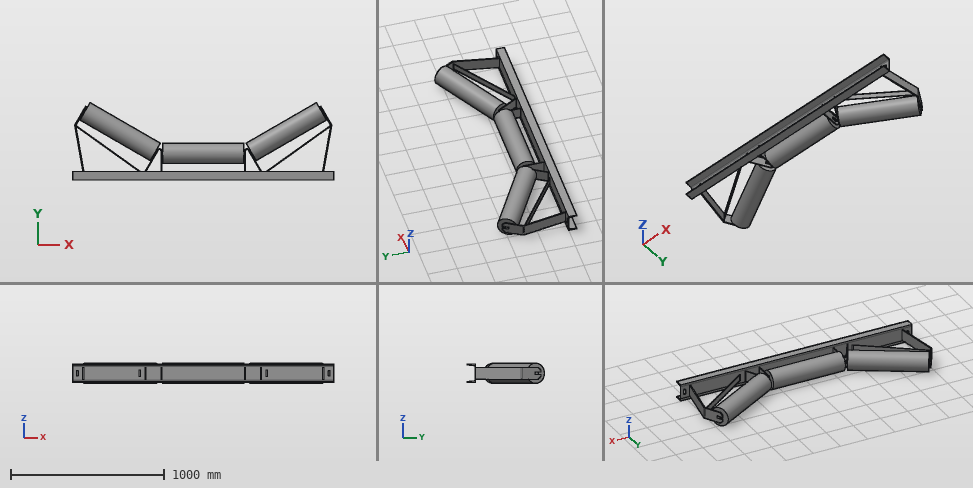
import cadquery as cq
import math

beam_length = 1700.0
beam_height = 120.0
beam_depth = 56.0
web_thickness = 5.0
flange_tip_thickness = 7.0
flange_root_thickness = 12.0
root_fillet = 5.0
beam_slot_width = 14.0
beam_slot_height = 37.0
beam_slot_inset = 30.0

roller_radius = 66.0
roller_length = 529.0
shaft_radius = 12.0
shaft_flat_width = 15.0
center_axis_y = 117.0
end_gap = 5.0

wing_angle = 30.0
wing_axis_v = -46.0

strap_width = 78.0

inner_thickness = 6.0
bend_outer_radius = 15.0
bend_center_y = 133.0

outer_thickness = 8.0
outer_lean = 10.0
outer_bend_v = -158.0
outer_bend_radius = 15.0
tip_above_axis = 30.0
tip_chamfer_length = 19.0
tip_chamfer_width = 17.0

brace_thickness = 5.0
brace_width = 45.0
brace_foot_x = 410.0

cos_wing = math.cos(math.radians(wing_angle))
sin_wing = math.sin(math.radians(wing_angle))
center_face_x = roller_length / 2 + end_gap
bend_center_x = center_face_x + bend_outer_radius
bend_center_u = bend_center_x * cos_wing + bend_center_y * sin_wing
inner_face_u = bend_center_u + bend_outer_radius
wing_start_u = inner_face_u + end_gap
outer_face_u = wing_start_u + roller_length + end_gap
outer_back_u = outer_face_u + outer_thickness
tip_v = wing_axis_v + tip_above_axis
slot_floor_v = wing_axis_v - shaft_radius


def wing_point(u, v):
    """X and Y of a place in the right-hand wing frame."""
    return (u * cos_wing - v * sin_wing, u * sin_wing + v * cos_wing)


def plate(outline, width):
    """Closed XY outline extruded by width, centered on Z = 0."""
    return outline.close().extrude(width / 2, both=True)


def on_side(body, side):
    """The right-hand body itself, or its mirror image for the left-hand side."""
    return body if side > 0 else body.mirror("YZ")


def make_beam():
    inner_tip_z = beam_height / 2 - flange_tip_thickness
    inner_root_z = beam_height / 2 - flange_root_thickness
    profile = [
        (0, -beam_height / 2),
        (0, beam_height / 2),
        (-beam_depth, beam_height / 2),
        (-beam_depth, inner_tip_z),
        (-web_thickness, inner_root_z),
        (-web_thickness, -inner_root_z),
        (-beam_depth, -inner_tip_z),
        (-beam_depth, -beam_height / 2),
    ]
    beam = cq.Workplane("YZ").polyline(profile).close().extrude(beam_length / 2, both=True)
    for root_z in (-inner_root_z, inner_root_z):
        root_edge = cq.selectors.NearestToPointSelector((0, -web_thickness, root_z))
        beam = beam.edges("|X").edges(root_edge).fillet(root_fillet)
    slot_x = beam_length / 2 - beam_slot_inset
    slots = (
        cq.Workplane("XZ")
        .pushPoints([(-slot_x, 0), (slot_x, 0)])
        .slot2D(beam_slot_height, beam_slot_width, 90)
        .extrude(beam_depth, both=True)
    )
    return beam.cut(slots)


def make_roller(start_shaft, end_shaft):
    """Roller along +X from the origin, with shaft ends of the given lengths."""
    shaft_length = start_shaft + roller_length + end_shaft
    shaft = cq.Workplane("YZ", origin=(-start_shaft, 0, 0)).circle(shaft_radius).extrude(shaft_length)
    flats = cq.Workplane("XY", origin=(-start_shaft, 0, 0)).box(
        shaft_length, 2 * shaft_radius, shaft_flat_width, centered=(False, True, True)
    )
    barrel = cq.Workplane("XZ").rect(roller_length, roller_radius, centered=False)
    barrel = barrel.revolve(360, (0, 0), (1, 0))
    return barrel.union(shaft.intersect(flats))


def make_center_roller():
    shaft_end = end_gap + inner_thickness
    roller = make_roller(shaft_end, shaft_end)
    return roller.translate((-roller_length / 2, center_axis_y, 0))


def make_wing_roller(side):
    roller = make_roller(end_gap + inner_thickness, end_gap + outer_thickness)
    start_x, start_y = wing_point(wing_start_u, wing_axis_v)
    roller = roller.rotate((0, 0, 0), (0, 0, 1), wing_angle).translate((start_x, start_y, 0))
    return on_side(roller, side)


def make_inner_bracket(side):
    bend_inner_radius = bend_outer_radius - inner_thickness
    bend_center_v = bend_center_y * cos_wing - bend_center_x * sin_wing
    mid_angle = math.radians((180 - wing_angle) / 2 + wing_angle)

    def bend_top(radius):
        return (bend_center_x + radius * math.cos(mid_angle), bend_center_y + radius * math.sin(mid_angle))

    def foot_x(u):
        return u / cos_wing

    back_x = center_face_x + inner_thickness
    back_u = inner_face_u - inner_thickness
    outline = (
        cq.Workplane("XY")
        .moveTo(center_face_x, 0)
        .lineTo(center_face_x, bend_center_y)
        .threePointArc(bend_top(bend_outer_radius), wing_point(inner_face_u, bend_center_v))
        .lineTo(foot_x(inner_face_u), 0)
        .lineTo(foot_x(back_u), 0)
        .lineTo(*wing_point(back_u, bend_center_v))
        .threePointArc(bend_top(bend_inner_radius), (back_x, bend_center_y))
        .lineTo(back_x, 0)
    )
    bracket = plate(outline, strap_width)

    slot_floor_y = center_axis_y - shaft_radius
    bend_top_y = bend_center_y + bend_outer_radius
    center_slot = cq.Workplane("XY").moveTo(center_face_x, slot_floor_y)
    center_slot = center_slot.lineTo(bend_center_x, slot_floor_y).lineTo(bend_center_x, bend_top_y)
    center_slot = center_slot.lineTo(center_face_x, bend_top_y)
    wing_slot_top_v = bend_center_v + bend_outer_radius
    wing_slot = cq.Workplane("XY").polyline([
        wing_point(bend_center_u, slot_floor_v),
        wing_point(inner_face_u, slot_floor_v),
        wing_point(inner_face_u, wing_slot_top_v),
        wing_point(bend_center_u, wing_slot_top_v),
    ])
    bracket = bracket.cut(plate(center_slot, shaft_flat_width)).cut(plate(wing_slot, shaft_flat_width))
    return on_side(bracket, side)


def outer_bend_corner(u):
    """Corner of the outer bracket's face at u, where its upper leg meets its leaning lower leg."""
    half_turn = math.radians((wing_angle + outer_lean) / 2)
    return wing_point(u, outer_bend_v + (outer_back_u - u) * math.tan(half_turn))


def outer_foot(u):
    """Place where the lower leg's face through the bend corner at u meets the beam."""
    corner_x, corner_y = outer_bend_corner(u)
    return (corner_x - corner_y * math.tan(math.radians(outer_lean)), 0)


def make_outer_bracket(side):
    outline = cq.Workplane("XY").polyline([
        outer_foot(outer_back_u),
        outer_bend_corner(outer_back_u),
        wing_point(outer_back_u, tip_v),
        wing_point(outer_face_u, tip_v),
        outer_bend_corner(outer_face_u),
        outer_foot(outer_face_u),
    ])
    bracket = plate(outline, strap_width)
    corner_x, corner_y = outer_bend_corner(outer_back_u)
    bracket = bracket.edges(cq.selectors.NearestToPointSelector((corner_x, corner_y, 0)))
    bracket = bracket.fillet(outer_bend_radius)

    leg_plane = cq.Plane(
        origin=(*wing_point(outer_face_u, 0), 0),
        xDir=(-sin_wing, cos_wing, 0),
        normal=(cos_wing, sin_wing, 0),
    )
    half_width = strap_width / 2
    for z_sign in (-1, 1):
        edge = z_sign * half_width
        trim_edge = z_sign * (half_width - tip_chamfer_width)
        corner = (
            cq.Workplane(leg_plane)
            .polyline([(tip_v, edge), (tip_v - tip_chamfer_length, edge), (tip_v, trim_edge)])
            .close()
            .extrude(outer_thickness)
        )
        bracket = bracket.cut(corner)
    slot_length = tip_v - slot_floor_v
    slot = (
        cq.Workplane(leg_plane)
        .center(tip_v - slot_length / 2, 0)
        .rect(slot_length, shaft_flat_width)
        .extrude(outer_thickness)
    )
    return on_side(bracket.cut(slot), side)


def make_brace(side):
    top_x, top_y = outer_bend_corner(outer_face_u)
    slope = math.atan2(top_y, top_x - brace_foot_x)
    foot_shift = brace_thickness / math.sin(slope)
    lean = math.radians(outer_lean)
    drop = brace_thickness / math.cos(slope + lean)
    outline = cq.Workplane("XY").polyline([
        (brace_foot_x, 0),
        (top_x, top_y),
        (top_x - drop * math.sin(lean), top_y - drop * math.cos(lean)),
        (brace_foot_x + foot_shift, 0),
    ])
    return on_side(plate(outline, brace_width), side)


beam = make_beam()
center_roller = make_center_roller()
side_bodies = []
for side in (-1, 1):
    for make_body in (make_wing_roller, make_inner_bracket, make_outer_bracket, make_brace):
        side_bodies.append(make_body(side).val())

result = cq.Compound.makeCompound([beam.val(), center_roller.val(), *side_bodies])